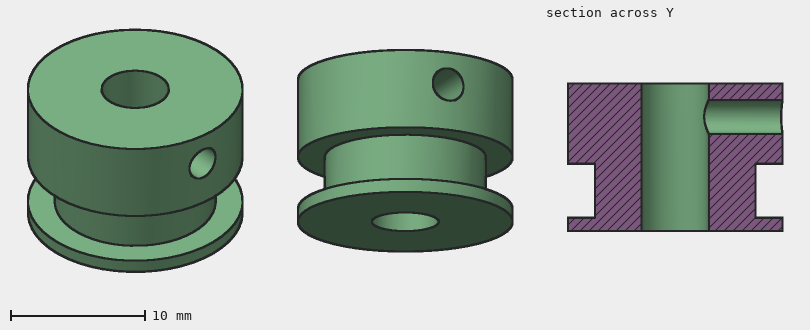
import cadquery as cq

outer_diameter = 16.0
neck_diameter = 12.0
bore_diameter = 5.0
screw_hole_diameter = 2.5
total_height = 11.0
hub_height = 6.0
neck_height = 4.0
screw_hole_depth_below_top = 2.5

hub_bottom = total_height - hub_height
flange_height = hub_bottom - neck_height
screw_hole_level = total_height - screw_hole_depth_below_top


def disc(diameter, bottom, height):
    """Solid cylinder on the Z axis, starting at the given level."""
    return cq.Workplane("XY").workplane(offset=bottom).circle(diameter / 2).extrude(height)


flange = disc(outer_diameter, 0, flange_height)
neck = disc(neck_diameter, flange_height, neck_height)
hub = disc(outer_diameter, hub_bottom, hub_height)
body = flange.union(neck).union(hub)

bore = disc(bore_diameter, 0, total_height)

screw_hole = (
    cq.Workplane("YZ")
    .center(0, screw_hole_level)
    .circle(screw_hole_diameter / 2)
    .extrude(outer_diameter / 2)
)

result = body.cut(bore).cut(screw_hole)